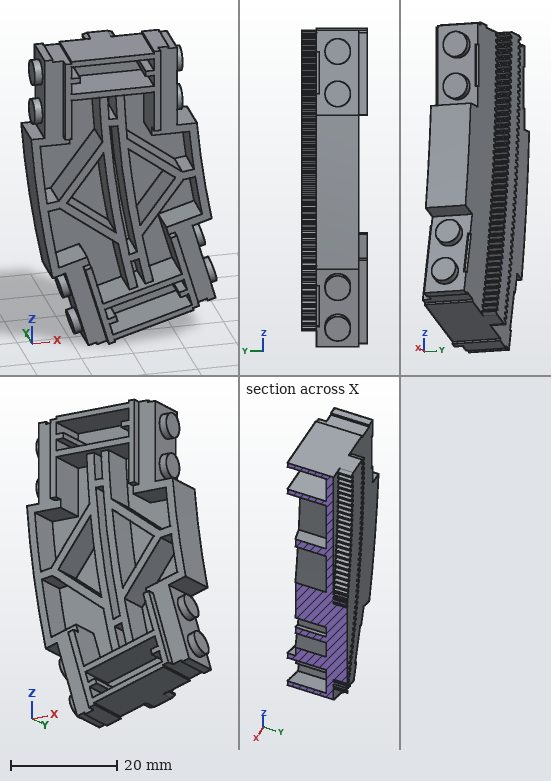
import cadquery as cq
import math


CURVE_RADIUS = 199.4
CURVE_ANGLE = 16.3
HALF_ANGLE = math.radians(CURVE_ANGLE / 2)

BODY_DEPTH = 8.0
FRAME_RISE = 1.6
FLOOR_THICKNESS = 1.6
RACK_DEPTH = 2.8
POCKET_DEPTH = BODY_DEPTH - FLOOR_THICKNESS

WALL = 1.6
BLOCK_HALF_WIDTH = 12.85
BLOCK_LENGTH = 15.95
FRAME_HALF_WIDTH = 9.25
POCKET_HALF_WIDTH = 8.0
OUTER_BAR = 1.15
INNER_BAR_START = 6.7
INNER_BAR_END = 8.0
NUB_LENGTH = 1.6
NUB_START = 3.5
NUB_END = 4.55
STEP_HEIGHT = 0.4
STEP_END = 11.2
STUD_DIAMETER = 4.8
STUD_LENGTH = 1.5
STUD_SPACING = 8.0
FIRST_STUD = STUD_SPACING / 2
SIDE_RECESS_HEIGHT = 0.5
SIDE_RECESS_WIDTH = 0.5

BODY_HALF_WIDTH = 16.0
CAVITY_HALF_WIDTH = BODY_HALF_WIDTH - WALL
CAVITY_START = BLOCK_LENGTH + WALL

RIB_OUTER = 2.4
RIB_INNER = 0.8
SLOT_BRIDGE_START = 13.4
SLOT_BRIDGE_END = 14.95
STRUT_WINDOW_HALF_DIAGONAL = 10.6

TOOTH_COUNT = 47
ROOT_HALF_WIDTH = 2.0
TIP_HALF_WIDTH = 2.9
ROOT_SHARE = 0.26
FLANK_SHARE = 0.24


def box(x0, x1, y0, y1, z0, z1):
    """Box between two opposite corners."""
    return cq.Workplane("XY").box(x1 - x0, y1 - y0, z1 - z0, centered=False).translate((x0, y0, z0))


def curve_point(offset, angle):
    """Point on the curve at an angle (radians) from the upper end; positive offsets point to +X."""
    radius = CURVE_RADIUS - offset
    return (CURVE_RADIUS - radius * math.cos(angle), -radius * math.sin(angle))


def level_angle(offset, depth):
    """Angle at which the arc with this offset lies the given depth below the upper end face."""
    return math.asin(depth / (CURVE_RADIUS - offset))


def prism(outline, y0, y1):
    """Solid between two Y levels from an outline drawn in X and Z."""
    return outline.extrude(y0 - y1).translate((0, y0, 0))


def arc_band(left, right, depth):
    """Outline between two arcs, cut off the given depth in from both end faces."""
    full = 2 * HALF_ANGLE
    left_start = level_angle(left, depth)
    right_start = level_angle(right, depth)
    return (
        cq.Workplane("XZ")
        .moveTo(*curve_point(left, left_start))
        .threePointArc(curve_point(left, HALF_ANGLE), curve_point(left, full - left_start))
        .lineTo(*curve_point(right, full - right_start))
        .threePointArc(curve_point(right, HALF_ANGLE), curve_point(right, right_start))
        .close()
    )


def to_lower_end(shape):
    """Turn a feature of the upper block round and carry it along the curve to the lower end."""
    turned = shape.rotate((0, 0, 0), (0, 1, 0), 180)
    return turned.rotate((CURVE_RADIUS, 0, 0), (CURVE_RADIUS, -1, 0), CURVE_ANGLE)


def end_block():
    """Upper block with its raised frame, studs and interlocking end steps."""
    block = box(-BLOCK_HALF_WIDTH, BLOCK_HALF_WIDTH, 0, BODY_DEPTH, -CAVITY_START, 0)
    frame = box(-FRAME_HALF_WIDTH, FRAME_HALF_WIDTH, -FRAME_RISE, 0, -BLOCK_LENGTH, 0)
    block = block.union(frame)
    tab = box(POCKET_HALF_WIDTH, STEP_END, 0, BODY_DEPTH, -STEP_HEIGHT, STEP_HEIGHT)
    frame_tab = box(POCKET_HALF_WIDTH, FRAME_HALF_WIDTH, -FRAME_RISE, 0, -STEP_HEIGHT, STEP_HEIGHT)
    notch = box(-STEP_END, -POCKET_HALF_WIDTH, -FRAME_RISE, BODY_DEPTH, -STEP_HEIGHT, 0)
    block = block.union(tab).union(frame_tab).cut(notch)
    for row in range(2):
        stud = (
            cq.Workplane("YZ")
            .center(BODY_DEPTH / 2, -FIRST_STUD - row * STUD_SPACING)
            .circle(STUD_DIAMETER / 2)
            .extrude(BLOCK_HALF_WIDTH + STUD_LENGTH, both=True)
        )
        block = block.union(stud)
    for side in (-1, 1):
        recess = box(
            -SIDE_RECESS_WIDTH, SIDE_RECESS_WIDTH,
            BODY_DEPTH - SIDE_RECESS_HEIGHT, BODY_DEPTH,
            -FIRST_STUD - STUD_SPACING, -FIRST_STUD,
        )
        block = block.cut(recess.translate((side * BLOCK_HALF_WIDTH, 0, 0)))
    return block


def end_pockets():
    """Pockets of the upper block: one between the bars, one opening into the arched body."""
    front = -FRAME_RISE
    pocket = box(-POCKET_HALF_WIDTH, POCKET_HALF_WIDTH, front, POCKET_DEPTH, -INNER_BAR_START, -OUTER_BAR)
    for side in (-1, 1):
        nub = box(-NUB_LENGTH, NUB_LENGTH, front, POCKET_DEPTH, -NUB_END, -NUB_START)
        pocket = pocket.cut(nub.translate((side * POCKET_HALF_WIDTH, 0, 0)))
    throat = box(-POCKET_HALF_WIDTH, POCKET_HALF_WIDTH, front, POCKET_DEPTH, -CAVITY_START, -INNER_BAR_END)
    return pocket.union(throat)


def diamond(half_diagonal):
    """Square prism standing on its corner, as deep as the pockets."""
    outline = cq.Workplane("XZ").polyline([
        (half_diagonal, 0), (0, half_diagonal), (-half_diagonal, 0), (0, -half_diagonal),
    ]).close()
    return prism(outline, 0, POCKET_DEPTH)


def struts():
    """Diamond of 45 degree struts around the middle, with a short stub to each side wall."""
    stub_end = CAVITY_HALF_WIDTH + WALL / 2
    stubs = box(-stub_end, stub_end, 0, POCKET_DEPTH, -WALL / 2, WALL / 2)
    outer_half_diagonal = STRUT_WINDOW_HALF_DIAGONAL + WALL * math.sqrt(2)
    ring = stubs.union(diamond(outer_half_diagonal)).cut(diamond(STRUT_WINDOW_HALF_DIAGONAL))
    middle_x, middle_z = curve_point(0, HALF_ANGLE)
    return ring.rotate((0, 0, 0), (0, -1, 0), CURVE_ANGLE / 2).translate((middle_x, 0, middle_z))


def ribs():
    """Twin arched ribs, bridged near both ends, together with the diamond struts."""
    spine = prism(arc_band(-RIB_OUTER, RIB_OUTER, INNER_BAR_END), 0, POCKET_DEPTH)
    slot = prism(arc_band(-RIB_INNER, RIB_INNER, INNER_BAR_END), 0, POCKET_DEPTH)
    bridges = prism(arc_band(-RIB_INNER, RIB_INNER, SLOT_BRIDGE_START), 0, POCKET_DEPTH)
    middle_slot = prism(arc_band(-RIB_INNER, RIB_INNER, SLOT_BRIDGE_END), 0, POCKET_DEPTH)
    return struts().union(spine).cut(slot).union(bridges).cut(middle_slot)


def rack():
    """Gear rack along the middle of the back, toothed on both sides."""
    pitch = 2 * HALF_ANGLE / (TOOTH_COUNT - ROOT_SHARE)
    flank = FLANK_SHARE * pitch
    tooth_foot = (1 - ROOT_SHARE) * pitch
    profile = []
    for tooth in range(TOOTH_COUNT):
        start = tooth * pitch
        profile += [
            (ROOT_HALF_WIDTH, start), (TIP_HALF_WIDTH, start + flank),
            (TIP_HALF_WIDTH, start + tooth_foot - flank), (ROOT_HALF_WIDTH, start + tooth_foot),
        ]
    left = [curve_point(-offset, angle) for offset, angle in profile]
    right = [curve_point(offset, angle) for offset, angle in reversed(profile)]
    outline = cq.Workplane("XZ").polyline(left + right).close()
    return prism(outline, BODY_DEPTH, BODY_DEPTH + RACK_DEPTH)


block = end_block()
pockets = end_pockets()
body = prism(arc_band(-BODY_HALF_WIDTH, BODY_HALF_WIDTH, BLOCK_LENGTH), 0, BODY_DEPTH)
cavity = prism(arc_band(-CAVITY_HALF_WIDTH, CAVITY_HALF_WIDTH, CAVITY_START), 0, POCKET_DEPTH)

result = body.union(block).union(to_lower_end(block))
result = result.cut(cavity).cut(pockets).cut(to_lower_end(pockets))
result = result.union(ribs()).union(rack())